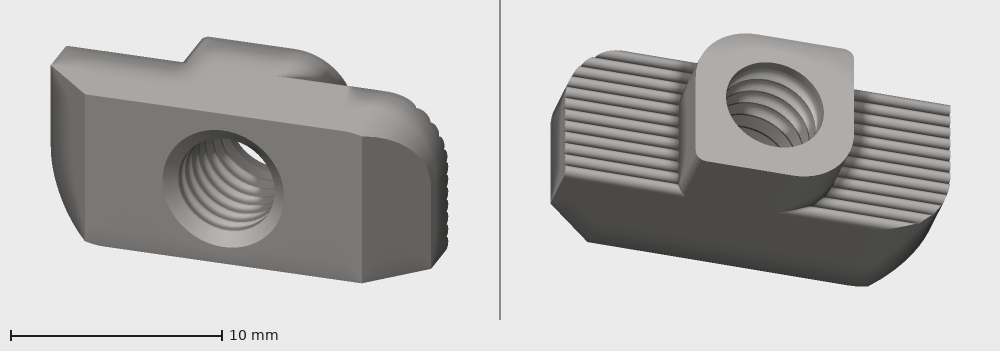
import cadquery as cq

length = 19.0
total_depth = 8.0
height = 7.8
base_depth = 5.13
base_corner_radius = 3.55
front_chamfer = 2.58
neck_large_radius = 3.04
neck_small_radius = 0.51
serration_count = 12

minor_diameter = 4.83
major_diameter = 6.0
pitch = 1.0
crest_width = pitch / 8
countersink_diameter = 6.08
countersink_depth = 0.45

lower_left_upper_right = "(<X and <Z) or (>X and >Z)"
upper_left_lower_right = "(<X and >Z) or (>X and <Z)"

half_length = length / 2
serration_pitch = height / serration_count
serration_radius = serration_pitch / 2
serration_root = base_depth - serration_radius


def rectangular_bar(width, depth):
    """Bar of full height, centred on the bolt axis and starting at the front face."""
    return cq.Workplane("XY").box(width, depth, height, centered=(True, False, True))


def round_corners(bar, corners, radius):
    """Round the selected corners of a bar, seen along the bolt axis."""
    return bar.edges("|Y").edges(corners).fillet(radius)


def make_base():
    """Twist-in bar with two rounded corners, bevelled front ends and a serrated rear face."""
    base = rectangular_bar(length, base_depth)
    base = round_corners(base, lower_left_upper_right, base_corner_radius)
    profile = (
        cq.Workplane("XY")
        .moveTo(-half_length + front_chamfer, 0)
        .lineTo(half_length - front_chamfer, 0)
        .lineTo(half_length, front_chamfer)
        .lineTo(half_length, base_depth)
        .lineTo(-half_length, base_depth)
        .lineTo(-half_length, front_chamfer)
        .close()
        .extrude(height / 2, both=True)
    )
    return base.intersect(profile).intersect(make_serrated_blank())


def make_serrated_blank():
    """Block whose rear face is a row of half-round ridges along X."""
    profile = cq.Workplane("YZ").lineTo(0, -height / 2).lineTo(serration_root, -height / 2)
    for i in range(serration_count):
        bottom = -height / 2 + i * serration_pitch
        profile = profile.threePointArc(
            (base_depth, bottom + serration_radius),
            (serration_root, bottom + serration_pitch),
        )
    return profile.lineTo(0, height / 2).close().extrude(half_length, both=True)


def make_neck():
    """Square neck with large and small radii on alternating corners."""
    neck = rectangular_bar(height, total_depth)
    neck = round_corners(neck, lower_left_upper_right, neck_large_radius)
    neck = round_corners(neck, upper_left_lower_right, neck_small_radius)
    return neck


def make_tapped_hole():
    """Countersunk through hole with the thread simplified to V-shaped rings."""
    minor_radius = minor_diameter / 2
    groove_half_width = (pitch - crest_width) / 2
    profile = (
        cq.Workplane("XY")
        .lineTo(countersink_diameter / 2, 0)
        .lineTo(minor_radius, countersink_depth)
    )
    groove_count = int((total_depth - countersink_depth) / pitch)
    for i in range(groove_count):
        start = countersink_depth + crest_width + i * pitch
        profile = (
            profile.lineTo(minor_radius, start)
            .lineTo(major_diameter / 2, start + groove_half_width)
            .lineTo(minor_radius, start + 2 * groove_half_width)
        )
    profile = profile.lineTo(minor_radius, total_depth).lineTo(0, total_depth).close()
    return profile.revolve(360, (0, 0, 0), (0, 1, 0))


result = make_base().union(make_neck()).cut(make_tapped_hole())